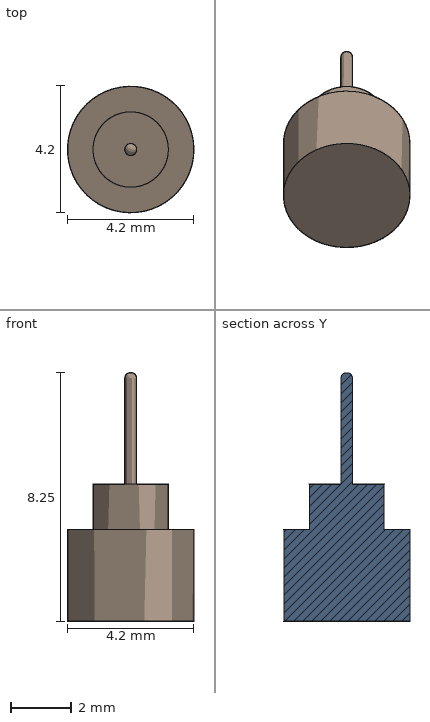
import cadquery as cq

total_height = 8.25
body_diameter = 4.2
body_height = 3.05
neck_diameter = 2.5
neck_height = 1.5
insulator_diameter = 1.96
pin_diameter = 0.4
tip_rounding = 0.18

neck_top = body_height + neck_height


def cylinder(diameter, bottom, top):
    """Upright cylinder on the Z axis between two heights."""
    return cq.Workplane("XY").workplane(offset=bottom).circle(diameter / 2).extrude(top - bottom)


body = cylinder(body_diameter, 0, body_height)
neck = cylinder(neck_diameter, body_height, neck_top)

insulator = cylinder(insulator_diameter, body_height, neck_top)

pin = cylinder(pin_diameter, neck_top, total_height).faces(">Z").edges().fillet(tip_rounding)

result = body.union(neck, clean=False).union(insulator, clean=False).union(pin, clean=False)